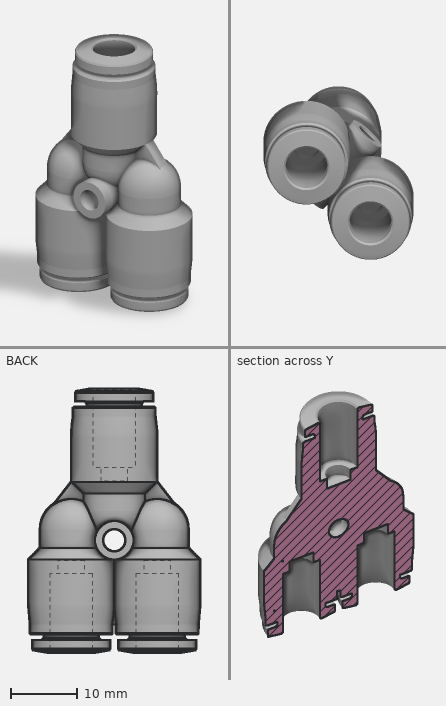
import cadquery as cq
import math

total_height = 39.8
total_width = 25.95

body_dia = 13.0
mouth_dia = 12.5
flange_dia = 11.8
collar_dia = 8.35
shoulder_dia = 9.55
tube_dia = 6.35
stop_dia = 4.0
tube_lead_in = 0.28

flange_edge_depth = 0.4
flange_rim_depth = 0.68
flange_depth = 1.95
collar_taper_depth = 2.23
body_face_depth = 2.75
mouth_depth = 4.25
body_arc_depth = 7.25
body_end_depth = 14.05
shoulder_depth = 15.8
dome_depth = 18.5
tube_depth = 11.95
stop_depth = 13.93

flange_rim_inset = 0.15
collar_flare = 0.28
mouth_chamfer = 0.25

hub_dia = 5.8
hub_hole_dia = 3.3
rib_thickness = 2.05
rib_foot_x = 9.27
rib_foot_z = 22.2

leg_offset = (total_width - body_dia) / 2
hub_z = body_end_depth + hub_dia / 2


def tangent_arc_midpoint():
    """Point halfway along the body arc, which ends tangent to the body cylinder."""
    length = body_arc_depth - mouth_depth
    drop = (body_dia - mouth_dia) / 2
    radius = (length**2 + drop**2) / (2 * drop)
    half_angle = math.asin(length / radius) / 2
    return (
        body_dia / 2 - radius * (1 - math.cos(half_angle)),
        body_arc_depth - radius * math.sin(half_angle),
    )


def port_solid():
    """Port revolved about Z, with its collar face at Z = 0 and its dome upward."""
    dome_radius = shoulder_dia / 2
    dome_mid = dome_radius * math.sqrt(0.5)
    profile = (
        cq.Workplane("XZ")
        .moveTo(0, 0)
        .lineTo(tube_dia / 2 + tube_lead_in, 0)
        .lineTo(flange_dia / 2 - flange_rim_inset, flange_edge_depth)
        .lineTo(flange_dia / 2, flange_rim_depth)
        .lineTo(flange_dia / 2, flange_depth)
        .lineTo(collar_dia / 2 + collar_flare, flange_depth)
        .lineTo(collar_dia / 2, collar_taper_depth)
        .lineTo(collar_dia / 2, body_face_depth)
        .lineTo(mouth_dia / 2 - mouth_chamfer, body_face_depth)
        .lineTo(mouth_dia / 2, body_face_depth + mouth_chamfer)
        .lineTo(mouth_dia / 2, mouth_depth)
        .threePointArc(tangent_arc_midpoint(), (body_dia / 2, body_arc_depth))
        .lineTo(body_dia / 2, body_end_depth)
        .lineTo(dome_radius, shoulder_depth)
        .lineTo(dome_radius, dome_depth)
        .threePointArc((dome_mid, dome_depth + dome_mid), (0, dome_depth + dome_radius))
        .close()
    )
    return profile.revolve(360, (0, 0, 0), (0, 1, 0))


def port_bore():
    """Tube socket with a lead-in cone and a smaller blind hole below the tube stop."""
    profile = (
        cq.Workplane("XZ")
        .moveTo(0, 0)
        .lineTo(tube_dia / 2 + tube_lead_in, 0)
        .lineTo(tube_dia / 2, tube_lead_in)
        .lineTo(tube_dia / 2, tube_depth)
        .lineTo(stop_dia / 2, tube_depth)
        .lineTo(stop_dia / 2, stop_depth)
        .lineTo(0, stop_depth)
        .close()
    )
    return profile.revolve(360, (0, 0, 0), (0, 1, 0))


def place_ports(shape):
    """Two copies side by side opening downward and one on the axis opening upward."""
    upper = shape.rotate((0, 0, 0), (1, 0, 0), 180).translate((0, 0, total_height))
    left = shape.translate((-leg_offset, 0, 0))
    right = shape.translate((leg_offset, 0, 0))
    return upper, left, right


def cross_cylinder(diameter):
    """Cylinder along Y, as long as the body is wide, at the hub position."""
    return (
        cq.Workplane("XZ", origin=(0, 0, hub_z))
        .circle(diameter / 2)
        .extrude(body_dia / 2, both=True)
    )


def ribs():
    """Web from the upper body down onto the two leg domes, its lower edge inside them."""
    top_z = total_height - body_end_depth
    return (
        cq.Workplane("XZ")
        .moveTo(-body_dia / 2, top_z)
        .lineTo(body_dia / 2, top_z)
        .lineTo(rib_foot_x, rib_foot_z)
        .lineTo(leg_offset, dome_depth)
        .lineTo(-leg_offset, dome_depth)
        .lineTo(-rib_foot_x, rib_foot_z)
        .close()
        .extrude(rib_thickness / 2, both=True)
    )


def leg_web():
    """Plate on the XZ plane that closes the gap between the legs above their mouths."""
    height = body_end_depth - mouth_depth
    return (
        cq.Workplane("XY", origin=(0, 0, mouth_depth))
        .rect(2 * leg_offset, rib_thickness)
        .extrude(height)
    )


result = cross_cylinder(hub_dia).union(ribs()).union(leg_web())
for port in place_ports(port_solid()):
    result = result.union(port)
for bore in place_ports(port_bore()):
    result = result.cut(bore)
result = result.cut(cross_cylinder(hub_hole_dia))